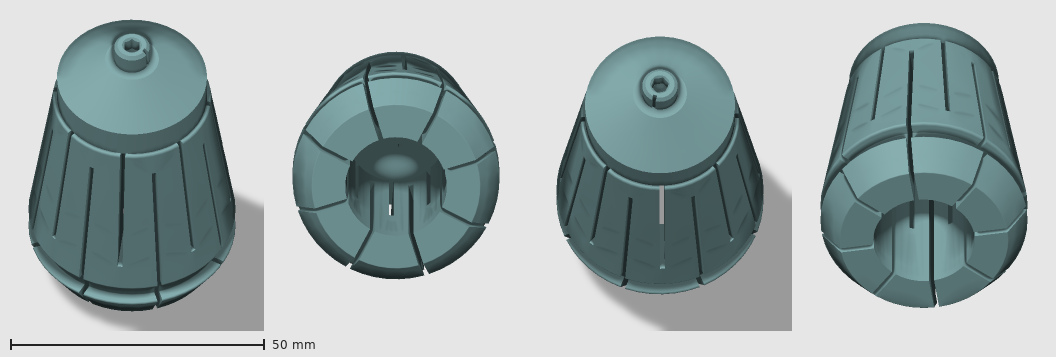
import cadquery as cq
import math


TOTAL_HEIGHT = 61.8
MAX_RADIUS = 40.85 / 2

NOSE_HEIGHT = 7.0
NOSE_ANGLE = 30.0
NOSE_ROUND = 0.3
NOSE_TIP_ROUND = 0.2

GROOVE_TOP = 11.1
GROOVE_RADIUS = 18.2
GROOVE_ROOT_ROUND = 0.2

BODY_TOP = 46.05
BODY_ANGLE = 8.0
BODY_ROUND = 0.5

CAP_RADIUS = 29.6 / 2
CAP_FLAT_RADIUS = 10.6 / 2
CAP_ROOF_ANGLE = 30.0
CAP_TOP = 57.5

SCREW_RADIUS = 7.0 / 2
SCREW_CHAMFER = 0.6
SOCKET_FLATS = 3.0
SOCKET_MOUTH = 3.9
SOCKET_DEPTH = 3.1
SOCKET_TIP_ANGLE = 30.0
KEYWAY_FLOOR_RADIUS = 2.55
KEYWAY_HOLE_RADIUS = 3.2
KEYWAY_WIDTH = 0.8

BORE_RADIUS = 20.0 / 2

SLOT_COUNT = 8
SLOT_PITCH = 360.0 / SLOT_COUNT
SLOT_WIDTH = 1.0
LOWER_SLOT_TOP = 41.15
UPPER_SLOT_FLOOR = 17.1


def fall(run, angle):
    """Distance a line moves sideways over a run when tilted by an angle."""
    return run * math.tan(math.radians(angle))


def sharp_radius(corner_angle, round_radius):
    """Radius of the sharp corner that reaches MAX_RADIUS once it is rounded."""
    tangent_length = round_radius / math.tan(math.radians(corner_angle / 2))
    return MAX_RADIUS + tangent_length - round_radius


def revolved(points):
    """Turn an outline of (radius, height) points about the Z axis."""
    return cq.Workplane("XZ").polyline(points).close().revolve(360, (0, 0, 0), (0, 1, 0))


def cylinder(radius, bottom, top):
    """Cylinder on the Z axis between two heights."""
    return cq.Workplane("XY").workplane(offset=bottom).circle(radius).extrude(top - bottom)


def make_nose():
    rim_radius = sharp_radius(90 - NOSE_ANGLE, NOSE_ROUND)
    tip_radius = rim_radius - fall(NOSE_HEIGHT, NOSE_ANGLE)
    nose = revolved([(0, 0), (tip_radius, 0), (rim_radius, NOSE_HEIGHT), (0, NOSE_HEIGHT)])
    nose = nose.faces(">Z").edges().fillet(NOSE_ROUND)
    return nose.faces("<Z").edges().fillet(NOSE_TIP_ROUND)


def make_body():
    foot_radius = sharp_radius(90 - BODY_ANGLE, BODY_ROUND)
    top_radius = foot_radius - fall(BODY_TOP - GROOVE_TOP, BODY_ANGLE)
    body = revolved([(0, GROOVE_TOP), (foot_radius, GROOVE_TOP), (top_radius, BODY_TOP), (0, BODY_TOP)])
    return body.faces("<Z or >Z").edges().fillet(BODY_ROUND)


def make_groove_core():
    """Cylinder that flares out in a small round at both ends."""
    flare_radius = GROOVE_RADIUS + GROOVE_ROOT_ROUND
    root_offset = GROOVE_ROOT_ROUND * (1 - math.sqrt(0.5))
    outline = (
        cq.Workplane("XZ")
        .moveTo(0, NOSE_HEIGHT)
        .lineTo(flare_radius, NOSE_HEIGHT)
        .threePointArc(
            (GROOVE_RADIUS + root_offset, NOSE_HEIGHT + root_offset),
            (GROOVE_RADIUS, NOSE_HEIGHT + GROOVE_ROOT_ROUND),
        )
        .lineTo(GROOVE_RADIUS, GROOVE_TOP - GROOVE_ROOT_ROUND)
        .threePointArc(
            (GROOVE_RADIUS + root_offset, GROOVE_TOP - root_offset),
            (flare_radius, GROOVE_TOP),
        )
        .lineTo(0, GROOVE_TOP)
        .close()
    )
    return outline.revolve(360, (0, 0, 0), (0, 1, 0))


def make_bore():
    return cylinder(BORE_RADIUS, 0, BODY_TOP)


def make_slots(bottom, top, start_angle):
    """Radial cutters from the axis outward, evenly spaced about the axis."""
    slot = cq.Workplane("XY").box(MAX_RADIUS * 2, SLOT_WIDTH, top - bottom, centered=(False, True, False))
    slot = slot.translate((0, 0, bottom))
    slots = cq.Workplane("XY")
    for index in range(SLOT_COUNT):
        slots = slots.add(slot.rotate((0, 0, 0), (0, 0, 1), start_angle + index * SLOT_PITCH))
    return slots.combine()


def make_cap():
    roof_rise = fall(CAP_RADIUS - CAP_FLAT_RADIUS, CAP_ROOF_ANGLE)
    return revolved([
        (0, BODY_TOP),
        (CAP_RADIUS, BODY_TOP),
        (CAP_RADIUS, CAP_TOP - roof_rise),
        (CAP_FLAT_RADIUS, CAP_TOP),
        (0, CAP_TOP),
    ])


def make_screw():
    screw = cylinder(SCREW_RADIUS, CAP_TOP, TOTAL_HEIGHT)
    return screw.faces(">Z").edges().chamfer(SCREW_CHAMFER)


def make_socket():
    """Hexagon with a corner on +Y, a conical mouth and a drilled conical tip."""
    floor = TOTAL_HEIGHT - SOCKET_DEPTH
    hexagon = (
        cq.Workplane("XY")
        .workplane(offset=floor)
        .polygon(6, SOCKET_FLATS, circumscribed=True)
        .extrude(SOCKET_DEPTH)
    )
    hexagon = hexagon.rotate((0, 0, 0), (0, 0, 1), 90)
    tip_depth = fall(SOCKET_FLATS / 2, SOCKET_TIP_ANGLE)
    tip = revolved([(0, floor), (SOCKET_FLATS / 2, floor), (0, floor - tip_depth)])
    mouth_radius = SOCKET_MOUTH / 2
    mouth = revolved([(0, TOTAL_HEIGHT), (mouth_radius, TOTAL_HEIGHT), (0, TOTAL_HEIGHT - mouth_radius)])
    return hexagon.union(tip).union(mouth)


def make_keyway():
    """Slot down the +X side of the screw that carries on through the cap."""
    block = cq.Workplane("XY").box(SCREW_RADIUS, KEYWAY_WIDTH, TOTAL_HEIGHT, centered=(False, True, False))
    block = block.translate((KEYWAY_FLOOR_RADIUS, 0, 0))
    in_screw = cylinder(SCREW_RADIUS, CAP_TOP, TOTAL_HEIGHT)
    in_cap = cylinder(KEYWAY_HOLE_RADIUS, BODY_TOP, CAP_TOP)
    return block.intersect(in_screw.union(in_cap))


collet = make_nose().union(make_groove_core()).union(make_body())
collet = collet.cut(make_bore())
collet = collet.cut(make_slots(0, LOWER_SLOT_TOP, 0))
collet = collet.cut(make_slots(UPPER_SLOT_FLOOR, BODY_TOP, SLOT_PITCH / 2))

plug = make_cap().union(make_screw()).cut(make_socket()).cut(make_keyway())

result = collet.union(plug)